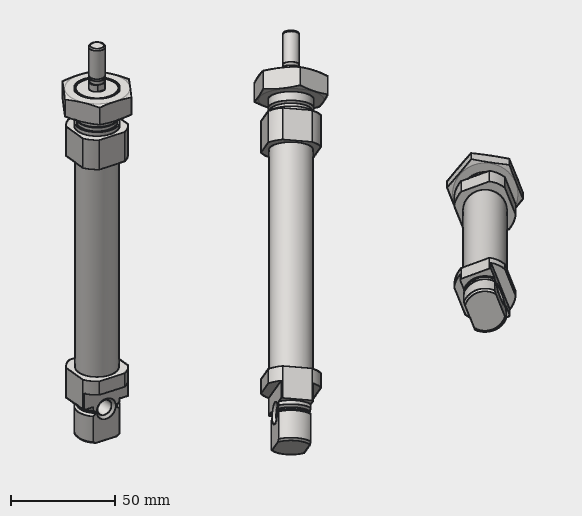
import cadquery as cq
import math

TOTAL_HEIGHT = 212.0
REAR_CAP_TOP = 36.5
REAR_SHOULDER = 29.0
REAR_BLOCK_BOTTOM = 20.1
FRONT_CAP_BOTTOM = 152.2
FRONT_CAP_TOP = 168.3
NUT_BOTTOM = 177.9
NUT_TOP = 188.7

TUBE_DIAMETER = 21.2
CAP_ACROSS_FLATS = 26.0
CAP_CORNER_DIAMETER = 29.9
COLLAR_DIAMETER = 22.0
COLLAR_END_DIAMETER = 20.4
FRONT_GROOVE_DIAMETER = 20.0
FRONT_GROOVE_BOTTOM = 170.5
FRONT_GROOVE_TOP = 173.5
REAR_GROOVE_DIAMETER = 19.7
REAR_GROOVE_BOTTOM = 15.0
REAR_GROOVE_TOP = 18.2
REAR_END_DIAMETER = 20.0
TONGUE_THICKNESS = 16.0
PIN_HOLE_DIAMETER = 8.0
PIN_HOLE_HEIGHT = 17.0
COUNTERSINK_DIAMETER = 11.0

NUT_ACROSS_FLATS = 32.0
NUT_CHAMFER_DIAMETER = 31.4
NUT_CHAMFER_ANGLE = 15.0

ROD_DIAMETER = 8.0
ROD_SOCKET_DEPTH = 10.5
ROD_SHOULDER = 192.3
ROD_NECK_DIAMETER = 7.0
ROD_NECK_TOP = 194.2
ROD_THREAD_BOTTOM = 195.7
ROD_END_DIAMETER = 6.8
ROD_CHAMFER_HEIGHT = 0.8
ROD_ACROSS_FLATS = 7.0

COLLAR_RADIUS = COLLAR_DIAMETER / 2
ROD_RADIUS = ROD_DIAMETER / 2
ROD_BOTTOM = NUT_TOP - ROD_SOCKET_DEPTH


def cylinder(diameter, bottom, top):
    return cq.Workplane("XY").workplane(offset=bottom).circle(diameter / 2).extrude(top - bottom)


def turned(profile):
    """Revolve a closed (radius, height) outline around the Z axis."""
    return cq.Workplane("XZ").polyline(profile).close().revolve(360, (0, 0, 0), (0, 1, 0))


def rounded_square(bottom, top):
    """Square end cap with its corners turned to a common diameter."""
    square = (
        cq.Workplane("XY").workplane(offset=bottom)
        .rect(CAP_ACROSS_FLATS, CAP_ACROSS_FLATS).extrude(top - bottom)
    )
    return square.intersect(cylinder(CAP_CORNER_DIAMETER, bottom, top))


def slab(thickness, bottom, top):
    """Block of limited X thickness, as wide in Y as the end cap corners."""
    return (
        cq.Workplane("XY").workplane(offset=bottom)
        .rect(thickness, CAP_CORNER_DIAMETER).extrude(top - bottom)
    )


def make_front_cap():
    groove_radius = FRONT_GROOVE_DIAMETER / 2
    end_radius = COLLAR_END_DIAMETER / 2
    groove_taper = COLLAR_RADIUS - groove_radius
    collar = turned([
        (0, FRONT_CAP_TOP),
        (COLLAR_RADIUS, FRONT_CAP_TOP),
        (COLLAR_RADIUS, FRONT_GROOVE_BOTTOM),
        (groove_radius, FRONT_GROOVE_BOTTOM),
        (groove_radius, FRONT_GROOVE_TOP - groove_taper),
        (COLLAR_RADIUS, FRONT_GROOVE_TOP),
        (COLLAR_RADIUS, NUT_TOP - (COLLAR_RADIUS - end_radius)),
        (end_radius, NUT_TOP),
        (0, NUT_TOP),
    ])
    return rounded_square(FRONT_CAP_BOTTOM, FRONT_CAP_TOP).union(collar)


def make_pin_hole():
    """Cross hole along X, countersunk where it leaves the tongue faces."""
    half = TONGUE_THICKNESS / 2
    radius = PIN_HOLE_DIAMETER / 2
    sink_radius = COUNTERSINK_DIAMETER / 2
    depth = sink_radius - radius
    hole = (
        cq.Workplane("XY")
        .polyline([
            (-half, 0), (-half, sink_radius), (depth - half, radius),
            (half - depth, radius), (half, sink_radius), (half, 0),
        ])
        .close().revolve(360, (0, 0, 0), (1, 0, 0))
    )
    return hole.translate((0, 0, PIN_HOLE_HEIGHT))


def make_rear_cap():
    groove_radius = REAR_GROOVE_DIAMETER / 2
    end_radius = REAR_END_DIAMETER / 2
    groove_taper = COLLAR_RADIUS - groove_radius
    collar = turned([
        (0, 0),
        (end_radius, 0),
        (COLLAR_RADIUS, COLLAR_RADIUS - end_radius),
        (COLLAR_RADIUS, REAR_GROOVE_BOTTOM),
        (groove_radius, REAR_GROOVE_BOTTOM + groove_taper),
        (groove_radius, REAR_GROOVE_TOP - groove_taper),
        (COLLAR_RADIUS, REAR_GROOVE_TOP),
        (COLLAR_RADIUS, REAR_BLOCK_BOTTOM),
        (0, REAR_BLOCK_BOTTOM),
    ])
    tongue = (
        rounded_square(REAR_BLOCK_BOTTOM, REAR_SHOULDER)
        .union(collar)
        .intersect(slab(TONGUE_THICKNESS, 0, REAR_SHOULDER))
        .cut(make_pin_hole())
    )
    return rounded_square(REAR_SHOULDER, REAR_CAP_TOP).union(tongue)


def make_housing():
    """Tube and both end caps, with the blind socket that holds the rod."""
    tube = cylinder(TUBE_DIAMETER, REAR_CAP_TOP, FRONT_CAP_BOTTOM)
    housing = make_rear_cap().union(tube).union(make_front_cap())
    return housing.cut(make_rod())


def make_nut():
    """Hexagon nut with its corners facing +Y and -Y, chamfered at both ends."""
    corner_radius = NUT_ACROSS_FLATS / 2 / math.cos(math.radians(30))
    chamfer_radius = NUT_CHAMFER_DIAMETER / 2
    drop = (corner_radius - chamfer_radius) * math.tan(math.radians(NUT_CHAMFER_ANGLE))
    hexagon = (
        cq.Workplane("XY").workplane(offset=NUT_BOTTOM)
        .polygon(6, 2 * corner_radius).extrude(NUT_TOP - NUT_BOTTOM)
        .rotate((0, 0, 0), (0, 0, 1), 90)
    )
    envelope = turned([
        (0, NUT_BOTTOM),
        (chamfer_radius, NUT_BOTTOM),
        (corner_radius, NUT_BOTTOM + drop),
        (corner_radius, NUT_TOP - drop),
        (chamfer_radius, NUT_TOP),
        (0, NUT_TOP),
    ])
    return hexagon.intersect(envelope).cut(cylinder(COLLAR_DIAMETER, NUT_BOTTOM, NUT_TOP))


def make_rod():
    """Piston rod with a threaded end, an undercut neck and two wrench flats."""
    neck_radius = ROD_NECK_DIAMETER / 2
    rod = turned([
        (0, ROD_BOTTOM),
        (ROD_RADIUS, ROD_BOTTOM),
        (ROD_RADIUS, ROD_SHOULDER),
        (neck_radius, ROD_SHOULDER),
        (neck_radius, ROD_NECK_TOP),
        (ROD_RADIUS, ROD_THREAD_BOTTOM),
        (ROD_RADIUS, TOTAL_HEIGHT - ROD_CHAMFER_HEIGHT),
        (ROD_END_DIAMETER / 2, TOTAL_HEIGHT),
        (0, TOTAL_HEIGHT),
    ])
    flat_zone = cylinder(2 * ROD_DIAMETER, NUT_TOP, ROD_SHOULDER)
    return rod.cut(flat_zone.cut(slab(ROD_ACROSS_FLATS, NUT_TOP, ROD_SHOULDER)))


housing = make_housing()
nut = make_nut()
rod = make_rod()

result = cq.Compound.makeCompound([housing.val(), nut.val(), rod.val()])